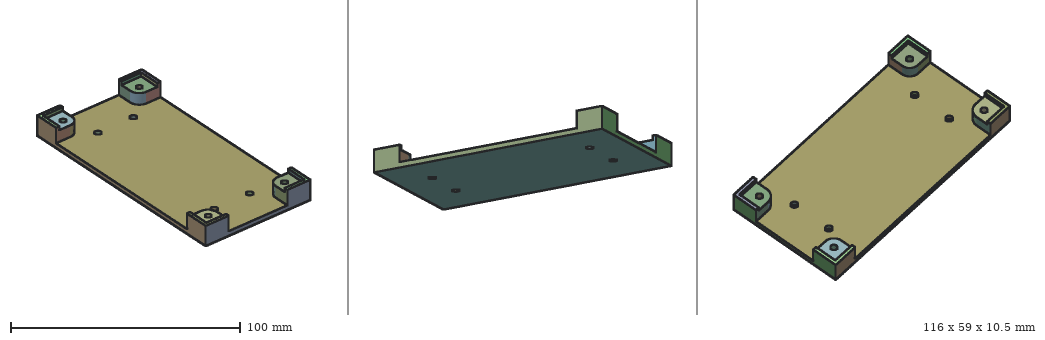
import cadquery as cq

length = 116.0
width = 59.0
total_height = 10.5
plate_thickness = 2.5

post_side = 13.0
post_height = total_height - plate_thickness
post_hole_inset = 8.0
post_corner_radius = post_side - post_hole_inset
post_hole_diameter = 3.0
rim_width = 1.9
rim_height = 2.0

plate_hole_diameter = 3.2
plate_hole_spacing_x = 80.0
plate_hole_spacing_y = 20.0


def make_plate():
    plate = cq.Workplane("XY").box(length, width, plate_thickness, centered=(True, True, False))
    return (
        plate.faces(">Z").workplane()
        .rarray(plate_hole_spacing_x, plate_hole_spacing_y, 2, 2)
        .hole(plate_hole_diameter)
    )


def make_post():
    """Post for the -X, -Y corner, standing on the plate."""
    outer_x = -length / 2
    outer_y = -width / 2
    block = (
        cq.Workplane("XY", origin=(outer_x, outer_y, plate_thickness))
        .box(post_side, post_side, post_height, centered=False)
        .edges("|Z and >X and >Y").fillet(post_corner_radius)
    )
    seat = (
        cq.Workplane("XY", origin=(outer_x + rim_width, outer_y + rim_width, total_height - rim_height))
        .box(post_side, post_side, rim_height, centered=False)
    )
    screw_hole = (
        cq.Workplane("XY", origin=(outer_x + post_hole_inset, outer_y + post_hole_inset, plate_thickness))
        .circle(post_hole_diameter / 2)
        .extrude(post_height)
    )
    return block.cut(seat).cut(screw_hole)


left_front_post = make_post()
left_back_post = left_front_post.mirror("XZ")
left_posts = [left_front_post, left_back_post]

result = make_plate()
for post in left_posts:
    result = result.union(post).union(post.mirror("YZ"))